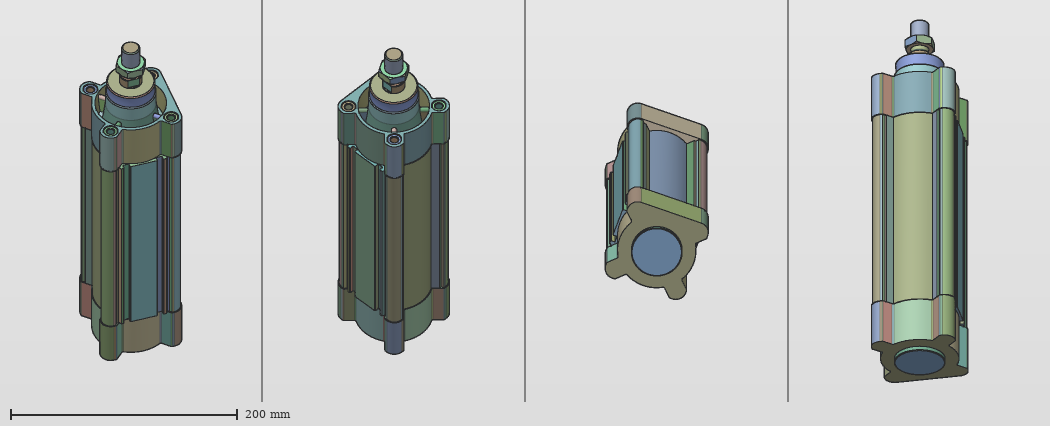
import cadquery as cq
import math

TOTAL_LENGTH = 343.0
CAP_WIDTH = 75.0
TUBE_WIDTH = 73.0
BOLT_OFFSET = 28.0
CAP_RADIUS = 34.5
TUBE_RADIUS = 34.0

REAR_BOSS_HEIGHT = 4.0
CAP_HEIGHT = 41.2
FRONT_FACE_Z = 275.5
COLLAR_SHOULDER_Z = 289.5
COLLAR_TOP_Z = 302.3
ROD_SHOULDER_Z = 311.5
THREAD_START_Z = 313.5
NUT_BOTTOM_Z = 317.0

CAP_SLOPE_OFFSET = 12.0
TUBE_SLOPE_OFFSET = 11.5
LOBE_FILLET = 1.5

NOTCH_FLOOR = 34.3
NOTCH_FLOOR_END = 24.5
NOTCH_SPREAD = 1.7
NOTCH_FLOOR_START = NOTCH_FLOOR - TUBE_SLOPE_OFFSET

SLOT_INNER = 12.7
SLOT_OUTER = 18.2
SLOT_FLOOR = 32.5
SLOT_CHAMFER = 0.7

COLLAR_DIAMETER = 45.0
COLLAR_TIP_DIAMETER = 43.0
COLLAR_WAIST = 0.5
COLLAR_CHAMFER = 1.0
BOSS_CHAMFER = 0.7
POCKET_DIAMETER = 63.0
POCKET_FLOOR_DIAMETER = 58.3
HUB_FLOOR_DIAMETER = 50.5
POCKET_DEPTH = 20.5
WEB_DROP = 3.5
WEB_WIDTH = 4.8

SCREW_BORE_DIAMETER = 13.0
SCREW_BORE_DEPTH = 3.5
HEAD_DIAMETER = 12.0
HEAD_DROP = 0.7
THREAD_MOUTH_DIAMETER = 8.0
THREAD_BORE_DIAMETER = 6.5
THREAD_BORE_DEPTH = 17.0
DRILL_POINT_ANGLE = 118.0

ROD_DIAMETER = 20.0
ROD_FLATS = 16.8
ROD_FLATS_BOTTOM_Z = 303.3
ROD_CHAMFER = 0.7
NECK_DIAMETER = 14.5
THREAD_DIAMETER = 16.0
THREAD_CHAMFER = 1.0
ROD_SEAT_DEPTH = 13.7
NUT_FLATS = 24.0
NUT_HEIGHT = 8.2
NUT_CHAMFER_ANGLE = 30.0


def cylinder(diameter, z, height):
    return cq.Workplane("XY").workplane(offset=z).circle(diameter / 2).extrude(height)


def corner_block(width, z, height):
    """Square bar with corners rounded about the tie screw axes."""
    bar = cq.Workplane("XY").workplane(offset=z).rect(width, width).extrude(height)
    return bar.edges("|Z").fillet(width / 2 - BOLT_OFFSET)


def scallop(width, radius, slope_offset, z, height):
    """Cutter for the -Y side: the hollow between two lobes, down to the round wall."""
    half = width / 2
    flat_end = half - slope_offset
    foot = (math.sqrt(2 * radius**2 - slope_offset**2) - slope_offset) / 2
    foot_y = -foot - slope_offset
    return (
        cq.Workplane("XY").workplane(offset=z)
        .moveTo(-flat_end, -half)
        .lineTo(-foot, foot_y)
        .threePointArc((0, -radius), (foot, foot_y))
        .lineTo(flat_end, -half)
        .close()
        .extrude(height)
    )


def cap(z):
    """End cap, scalloped on three sides and plain on +Y."""
    body = corner_block(CAP_WIDTH, z, CAP_HEIGHT)
    hollow = scallop(CAP_WIDTH, CAP_RADIUS, CAP_SLOPE_OFFSET, z, CAP_HEIGHT)
    hollow_edges = cq.selectors.BoxSelector(
        (-BOLT_OFFSET + LOBE_FILLET, -CAP_WIDTH, z),
        (BOLT_OFFSET - LOBE_FILLET, -CAP_RADIUS / 2, z + CAP_HEIGHT),
    )
    for turn in (-90, 0, 90):
        body = body.rotate((0, 0, 0), (0, 0, 1), -turn).cut(hollow)
        body = body.edges("|Z").edges(hollow_edges).fillet(LOBE_FILLET)
        body = body.rotate((0, 0, 0), (0, 0, 1), turn)
    return body


def lobe_notch(z, height):
    """Cutter for the notch on the +X side of the tube, at +Y."""
    half = TUBE_WIDTH / 2
    return (
        cq.Workplane("XY").workplane(offset=z)
        .moveTo(half, NOTCH_FLOOR_START - NOTCH_SPREAD)
        .lineTo(NOTCH_FLOOR, NOTCH_FLOOR_START)
        .lineTo(NOTCH_FLOOR, NOTCH_FLOOR_END)
        .lineTo(half, NOTCH_FLOOR_END + NOTCH_SPREAD)
        .close()
        .extrude(height)
    )


def side_slot(z, height):
    """Cutter for the slot on the +X side of the tube, at +Y, with a chamfered mouth."""
    half = TUBE_WIDTH / 2
    return (
        cq.Workplane("XY").workplane(offset=z)
        .moveTo(half, SLOT_INNER - SLOT_CHAMFER)
        .lineTo(half - SLOT_CHAMFER, SLOT_INNER)
        .lineTo(SLOT_FLOOR, SLOT_INNER)
        .lineTo(SLOT_FLOOR, SLOT_OUTER)
        .lineTo(half - SLOT_CHAMFER, SLOT_OUTER)
        .lineTo(half, SLOT_OUTER + SLOT_CHAMFER)
        .close()
        .extrude(height)
    )


def with_mirrors(cutter):
    """The cutter together with its mirror images across XZ and YZ."""
    pair = cutter.union(cutter.mirror("XZ"))
    return pair.union(pair.mirror("YZ"))


def tube(z, height):
    """Profile tube: scalloped on both Y sides, slotted on both X sides, notched beside each lobe."""
    body = corner_block(TUBE_WIDTH, z, height)
    hollow = scallop(TUBE_WIDTH, TUBE_RADIUS, TUBE_SLOPE_OFFSET, z, height)
    notches = with_mirrors(lobe_notch(z, height))
    return (
        body.cut(hollow).cut(hollow.mirror("XZ"))
        .cut(notches).cut(notches.rotate((0, 0, 0), (0, 0, 1), 90))
        .cut(with_mirrors(side_slot(z, height)))
    )


def pocket():
    """Drafted ring around the collar, less the four round-topped diagonal webs."""
    floor_z = FRONT_FACE_Z - POCKET_DEPTH
    web_top_z = FRONT_FACE_Z - WEB_DROP
    web_radius = WEB_WIDTH / 2
    ring = (
        cq.Workplane("XZ")
        .moveTo(COLLAR_DIAMETER / 2, FRONT_FACE_Z)
        .lineTo(HUB_FLOOR_DIAMETER / 2, floor_z)
        .lineTo(POCKET_FLOOR_DIAMETER / 2, floor_z)
        .lineTo(POCKET_DIAMETER / 2, FRONT_FACE_Z)
        .close()
        .revolve(360, (0, 0, 0), (0, 1, 0))
    )
    web_section = (
        cq.Workplane("YZ").workplane(offset=-POCKET_DIAMETER)
        .moveTo(-web_radius, floor_z)
        .lineTo(web_radius, floor_z)
        .lineTo(web_radius, web_top_z - web_radius)
        .threePointArc((0, web_top_z), (-web_radius, web_top_z - web_radius))
        .close()
        .extrude(2 * POCKET_DIAMETER)
    )
    for turn in (45, 135):
        ring = ring.cut(web_section.rotate((0, 0, 0), (0, 0, 1), turn))
    return ring


def collar():
    """Bearing collar with a concave groove around its tip."""
    tip = COLLAR_TIP_DIAMETER / 2
    wide = COLLAR_DIAMETER / 2
    groove_top_z = COLLAR_TOP_Z - COLLAR_CHAMFER
    middle_z = (COLLAR_SHOULDER_Z + COLLAR_TOP_Z) / 2
    base_z = FRONT_FACE_Z - CAP_HEIGHT
    return (
        cq.Workplane("XZ")
        .moveTo(0, base_z)
        .lineTo(wide, base_z)
        .lineTo(wide, COLLAR_SHOULDER_Z)
        .lineTo(tip, COLLAR_SHOULDER_Z + COLLAR_CHAMFER)
        .threePointArc((tip - COLLAR_WAIST, middle_z), (tip, groove_top_z))
        .lineTo(tip - COLLAR_CHAMFER, COLLAR_TOP_Z)
        .lineTo(0, COLLAR_TOP_Z)
        .close()
        .revolve(360, (0, 0, 0), (0, 1, 0))
    )


def screw_recess():
    """Ring gap around a tie screw head, with a threaded bore and drill point in the head."""
    head = HEAD_DIAMETER / 2
    bore = THREAD_BORE_DIAMETER / 2
    mouth = THREAD_MOUTH_DIAMETER / 2
    gap = SCREW_BORE_DIAMETER / 2
    head_z = FRONT_FACE_Z - HEAD_DROP
    bore_floor = FRONT_FACE_Z - THREAD_BORE_DEPTH
    point = bore_floor - bore / math.tan(math.radians(DRILL_POINT_ANGLE / 2))
    gap_floor = FRONT_FACE_Z - SCREW_BORE_DEPTH
    return (
        cq.Workplane("XZ")
        .moveTo(0, point)
        .lineTo(bore, bore_floor)
        .lineTo(bore, head_z - (mouth - bore))
        .lineTo(mouth, head_z)
        .lineTo(head, head_z)
        .lineTo(head, gap_floor)
        .lineTo(gap, gap_floor)
        .lineTo(gap, FRONT_FACE_Z)
        .lineTo(0, FRONT_FACE_Z)
        .close()
        .revolve(360, (0, 0, 0), (0, 1, 0))
    )


def make_housing():
    tube_z = REAR_BOSS_HEIGHT + CAP_HEIGHT
    front_cap_z = FRONT_FACE_Z - CAP_HEIGHT
    body = cap(REAR_BOSS_HEIGHT).union(tube(tube_z, front_cap_z - tube_z)).union(cap(front_cap_z))
    boss = cylinder(COLLAR_DIAMETER, 0, REAR_BOSS_HEIGHT).faces("<Z").chamfer(BOSS_CHAMFER)
    body = body.union(boss).union(collar()).cut(pocket())
    for x in (-BOLT_OFFSET, BOLT_OFFSET):
        for y in (-BOLT_OFFSET, BOLT_OFFSET):
            body = body.cut(screw_recess().translate((x, y, 0)))
    return body.cut(cylinder(ROD_DIAMETER, COLLAR_TOP_Z - ROD_SEAT_DEPTH, ROD_SEAT_DEPTH))


def make_rod():
    seat_z = COLLAR_TOP_Z - ROD_SEAT_DEPTH
    shank = cylinder(ROD_DIAMETER, seat_z, ROD_SHOULDER_Z - seat_z).faces(">Z").chamfer(ROD_CHAMFER)
    flats_height = ROD_SHOULDER_Z - ROD_FLATS_BOTTOM_Z
    for side in (-1, 1):
        flat = (
            cq.Workplane("XY").workplane(offset=ROD_FLATS_BOTTOM_Z)
            .center(side * (ROD_FLATS + ROD_DIAMETER) / 2, 0)
            .rect(ROD_DIAMETER, 2 * ROD_DIAMETER).extrude(flats_height)
        )
        shank = shank.cut(flat)
    neck = cylinder(NECK_DIAMETER, ROD_SHOULDER_Z, THREAD_START_Z - ROD_SHOULDER_Z)
    thread = cylinder(THREAD_DIAMETER, THREAD_START_Z, TOTAL_LENGTH - THREAD_START_Z)
    runout_width = (THREAD_DIAMETER - NECK_DIAMETER) / 2
    thread = thread.faces(">Z").chamfer(THREAD_CHAMFER)
    thread = thread.faces("<Z").chamfer(NUT_BOTTOM_Z - THREAD_START_Z, runout_width)
    return shank.union(neck).union(thread)


def make_nut():
    """Hexagon nut, points along Y, with both ends chamfered."""
    rim = NUT_FLATS / 2
    corner = rim / math.cos(math.pi / 6)
    slope = math.tan(math.radians(NUT_CHAMFER_ANGLE))
    drop = (corner - rim) * slope
    hexagon = (
        cq.Workplane("XY").workplane(offset=NUT_BOTTOM_Z)
        .polygon(6, 2 * corner).extrude(NUT_HEIGHT)
        .rotate((0, 0, 0), (0, 0, 1), 30)
    )
    top = NUT_BOTTOM_Z + NUT_HEIGHT
    envelope = (
        cq.Workplane("XZ")
        .moveTo(0, NUT_BOTTOM_Z)
        .lineTo(rim, NUT_BOTTOM_Z)
        .lineTo(corner, NUT_BOTTOM_Z + drop)
        .lineTo(corner, top - drop)
        .lineTo(rim, top)
        .lineTo(0, top)
        .close()
        .revolve(360, (0, 0, 0), (0, 1, 0))
    )
    bore = cylinder(THREAD_DIAMETER, NUT_BOTTOM_Z, NUT_HEIGHT)
    return hexagon.intersect(envelope).cut(bore)


housing = make_housing()
rod = make_rod()
nut = make_nut()
result = cq.Compound.makeCompound([housing.val(), rod.val(), nut.val()])